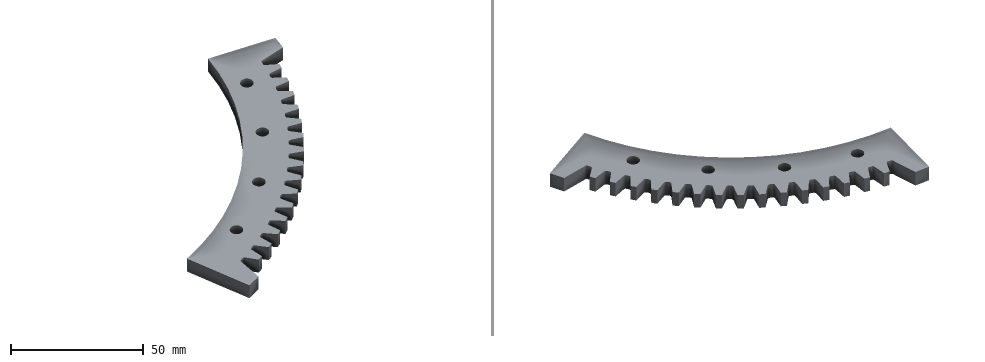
import cadquery as cq
import math

inner_radius = 107.0
hole_circle_radius = 114.7
root_radius = 124.2
tip_radius = 130.0
end_stop_radius = 135.0

thickness = 6.4
hole_diameter = 5.1
root_fillet_radius = 0.8

middle_angle = 66.6
teeth_in_full_circle = 100
tooth_count = 15
tooth_pitch = 360 / teeth_in_full_circle
tip_half_angle = 0.52
gap_half_angle = 0.55
inner_end_half_angle = 32.6
outer_end_half_angle = 31.9
end_stop_half_angle = 29.3

hole_count = 4
hole_pitch = 4 * tooth_pitch
first_hole_angle = 46.3


def polar(radius, angle):
    """Point at a radius and an angle in degrees about the gear centre."""
    radians = math.radians(angle)
    return radius * math.cos(radians), radius * math.sin(radians)


def arc_to(outline, radius, start_angle, end_angle):
    """Continue the outline along an arc about the gear centre."""
    middle = polar(radius, (start_angle + end_angle) / 2)
    return outline.threePointArc(middle, polar(radius, end_angle))


def make_toothed_sector():
    """Extruded ring sector with teeth between two tall end stops."""
    start_angle = middle_angle - inner_end_half_angle
    finish_angle = middle_angle + inner_end_half_angle
    outer_start = middle_angle - outer_end_half_angle
    outer_finish = middle_angle + outer_end_half_angle
    stop_start = middle_angle - end_stop_half_angle
    stop_finish = middle_angle + end_stop_half_angle

    outline = cq.Workplane("XY").moveTo(*polar(inner_radius, start_angle))
    outline = outline.lineTo(*polar(end_stop_radius, outer_start))
    outline = arc_to(outline, end_stop_radius, outer_start, stop_start)

    first_gap_angle = middle_angle - tooth_count * tooth_pitch / 2
    for index in range(tooth_count + 1):
        gap_angle = first_gap_angle + index * tooth_pitch
        gap_start = gap_angle - gap_half_angle
        gap_finish = gap_angle + gap_half_angle
        outline = outline.lineTo(*polar(root_radius, gap_start))
        outline = arc_to(outline, root_radius, gap_start, gap_finish)
        if index < tooth_count:
            tooth_angle = gap_angle + tooth_pitch / 2
            tip_start = tooth_angle - tip_half_angle
            tip_finish = tooth_angle + tip_half_angle
            outline = outline.lineTo(*polar(tip_radius, tip_start))
            outline = arc_to(outline, tip_radius, tip_start, tip_finish)

    outline = outline.lineTo(*polar(end_stop_radius, stop_finish))
    outline = arc_to(outline, end_stop_radius, stop_finish, outer_finish)
    outline = outline.lineTo(*polar(inner_radius, finish_angle))
    outline = arc_to(outline, inner_radius, finish_angle, start_angle)
    return outline.close().extrude(thickness)


def round_tooth_roots(body):
    """Fillet the upright edges at the bottom of every gap."""
    root_edges = []
    for edge in body.edges("|Z").vals():
        centre = edge.Center()
        if math.isclose(math.hypot(centre.x, centre.y), root_radius, abs_tol=0.01):
            root_edges.append(edge)
    return body.newObject(root_edges).fillet(root_fillet_radius)


def drill_holes(body):
    """Cut the row of mounting holes through the plate."""
    centres = [
        polar(hole_circle_radius, first_hole_angle + index * hole_pitch)
        for index in range(hole_count)
    ]
    holes = cq.Workplane("XY").pushPoints(centres).circle(hole_diameter / 2).extrude(thickness)
    return body.cut(holes)


result = drill_holes(round_tooth_roots(make_toothed_sector()))